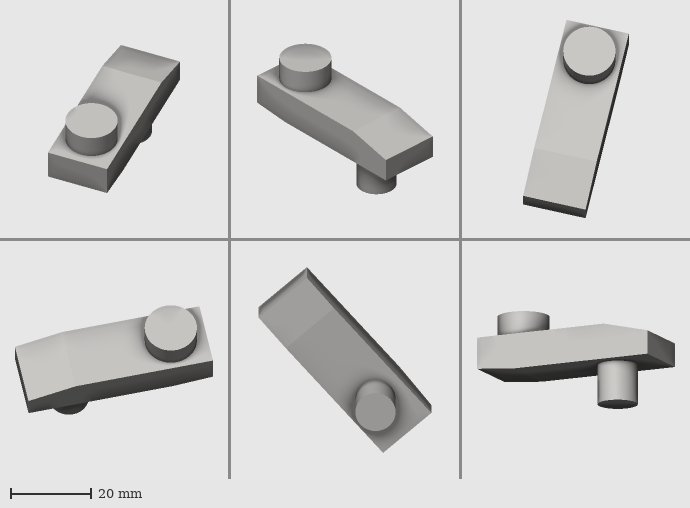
import cadquery as cq

length = 47.0
width = 16.0
thickness = 8.95

top_slope_length = 12.0
top_slope_drop = 2.9
bottom_slope_length = 10.25
bottom_slope_rise = 0.95

boss_diameter = 13.0
boss_height = 6.0
boss_from_front = 9.02

pin_diameter = 10.0
pin_length = 10.0
pin_from_front = length - top_slope_length


def make_bar():
    """Side profile in the YZ plane, extruded evenly to both sides of X = 0."""
    profile = [
        (0, bottom_slope_rise),
        (bottom_slope_length, 0),
        (length, 0),
        (length, thickness - top_slope_drop),
        (length - top_slope_length, thickness),
        (0, thickness),
    ]
    return cq.Workplane("YZ").polyline(profile).close().extrude(width / 2, both=True)


def make_cylinder(diameter, y, bottom, top):
    """Upright cylinder on the bar's centre plane."""
    return cq.Workplane("XY", origin=(0, y, bottom)).circle(diameter / 2).extrude(top - bottom)


mid_height = thickness / 2
boss = make_cylinder(boss_diameter, boss_from_front, mid_height, thickness + boss_height)
pin = make_cylinder(pin_diameter, pin_from_front, -pin_length, mid_height)

result = make_bar().union(boss).union(pin)